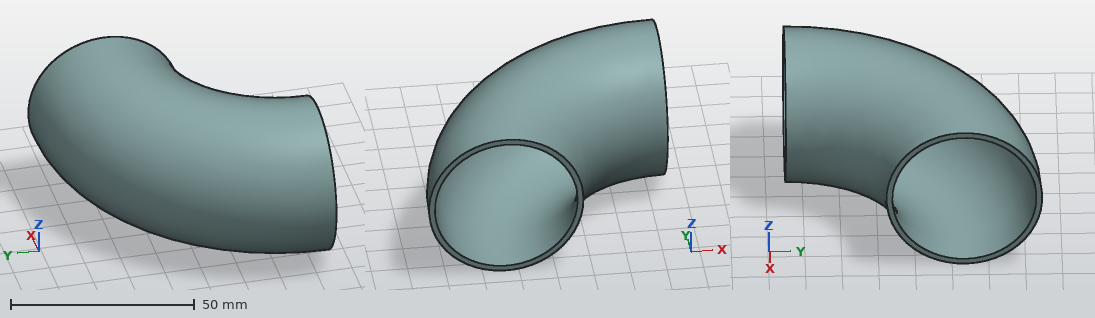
import cadquery as cq

overall_reach = 69.2
outer_diameter = 42.4
wall_thickness = 1.6
bend_angle = 90.0

outer_radius = outer_diameter / 2
inner_radius = outer_radius - wall_thickness
bend_radius = overall_reach - outer_radius

tube_section = (
    cq.Workplane("XZ")
    .center(-bend_radius, 0)
    .circle(outer_radius)
    .circle(inner_radius)
)

axis_start = (bend_radius, 0)
axis_end = (bend_radius, -1)
result = tube_section.revolve(bend_angle, axis_start, axis_end)